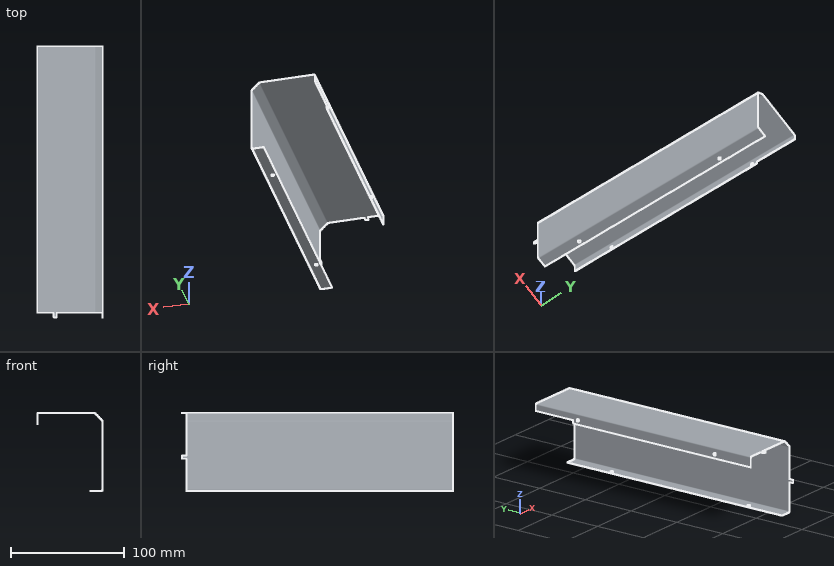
import cadquery as cq
import math

width = 58.0
length = 239.0
height = 69.0

thickness = 0.5
bend_radius = 1.5
bevel_radius = 2.2
bevel = 7.2

lip_height = 10.3
flange_width = 11.2
notch_length = 40.6
notch_height = 3.0
notch_radius = 1.2

tab_length = 4.0
tab_width = 3.0
tab_corner = 0.7
top_tab_x = 16.0
wall_tab_z = height - 39.2

hole_diameter = 2.5
back_hole_offset = 46.0
hole_spacing = 149.5
lip_hole_z = height - 6.2
flange_hole_inset = 4.0

front_edge = tab_length
hole_positions = [length - back_hole_offset, length - back_hole_offset - hole_spacing]


def folded_sheet():
    """Folded sheet of constant thickness, extruded along Y."""

    def bent_block(inset):
        """Solid block filling the section, with all its sides moved inwards by inset."""
        left, right = inset, width - inset
        bottom, top = inset, height - inset
        leg = bevel - inset * (2 - math.sqrt(2))
        block = (
            cq.Workplane("XZ", origin=(0, length, 0))
            .moveTo(left, bottom)
            .lineTo(left, top)
            .lineTo(right - leg, top)
            .lineTo(right, top - leg)
            .lineTo(right, bottom)
            .close()
            .extrude(length - front_edge)
        )
        bevel_bends = cq.selectors.BoxSelector(
            (right - 2 * leg, 0, top - 2 * leg), (2 * width, length, 2 * height)
        )
        square_bends = cq.selectors.StringSyntaxSelector("|Y") - bevel_bends
        return (
            block.edges(square_bends)
            .fillet(bend_radius - inset)
            .edges(cq.selectors.StringSyntaxSelector("|Y") & bevel_bends)
            .fillet(bevel_radius - inset)
        )

    ring = bent_block(0).cut(bent_block(thickness))
    open_corner = cq.Workplane().box(
        width - flange_width, length, height - lip_height, centered=False
    )
    return ring.cut(open_corner)


def lip_notch():
    """Step that shortens the lip at the back, rounded at its lower corner."""
    lip_bottom = height - lip_height
    notch_front = length - notch_length
    return (
        cq.Workplane("YZ")
        .moveTo(notch_front - notch_radius, lip_bottom)
        .radiusArc((notch_front, lip_bottom + notch_radius), -notch_radius)
        .lineTo(notch_front, lip_bottom + notch_height)
        .lineTo(length, lip_bottom + notch_height)
        .lineTo(length, lip_bottom)
        .close()
        .extrude(bend_radius)
    )


def tab():
    """Flat tab centred on X = 0 with its rounded end at Y = 0 and its underside at Z = 0."""
    overlap = thickness
    return (
        cq.Workplane()
        .box(tab_width, tab_length + overlap, thickness, centered=(True, False, False))
        .edges("|Z and <Y")
        .fillet(tab_corner)
    )


top_tab = tab().translate((top_tab_x, 0, height - thickness))
wall_tab = tab().rotate((0, 0, 0), (0, 1, 0), -90).translate((width, 0, wall_tab_z))

lip_holes = (
    cq.Workplane("YZ")
    .pushPoints([(y, lip_hole_z) for y in hole_positions])
    .circle(hole_diameter / 2)
    .extrude(bend_radius)
)
flange_holes = (
    cq.Workplane("XY")
    .pushPoints([(width - flange_width + flange_hole_inset, y) for y in hole_positions])
    .circle(hole_diameter / 2)
    .extrude(bend_radius)
)

result = (
    folded_sheet()
    .union(top_tab)
    .union(wall_tab)
    .cut(lip_notch())
    .cut(lip_holes)
    .cut(flange_holes)
)